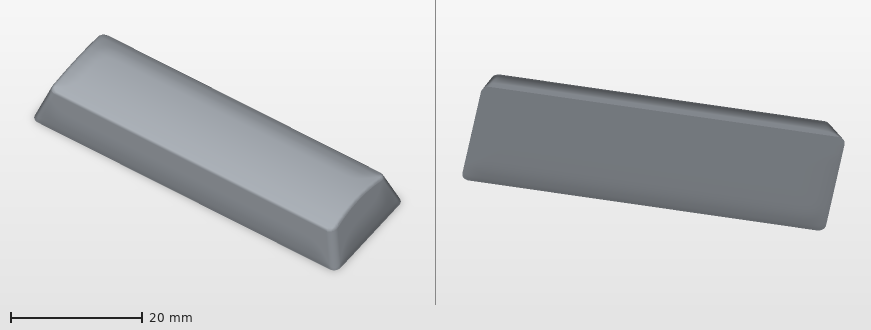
import cadquery as cq

base_length = 56.4
base_width = 18.3
height = 7.2
draft_angle = 17.5
corner_radius = 1.3
rim_radius = 0.6
crown_radius = 25.0
trim_allowance = 1.0


def tapered_block():
    """Block, left taller than the part, with leaning walls and rounded upright edges."""
    block = (
        cq.Workplane("XY")
        .rect(base_length, base_width)
        .extrude(height + trim_allowance, taper=draft_angle)
    )
    leaning_edges = block.edges("not(#Z)")
    return leaning_edges.fillet(corner_radius)


def crowned_bar():
    """Bar along X, as wide as the base, with its top arched across the width."""
    half_width = base_width / 2
    crown_drop = crown_radius - (crown_radius**2 - half_width**2) ** 0.5
    shoulder_height = height - crown_drop
    return (
        cq.Workplane("YZ")
        .moveTo(-half_width, 0)
        .lineTo(-half_width, shoulder_height)
        .threePointArc((0, height), (half_width, shoulder_height))
        .lineTo(half_width, 0)
        .close()
        .extrude(base_length / 2, both=True)
    )


def round_rim(body):
    """Round the edge loop where the crowned top meets the walls."""
    return body.faces(">Z").edges().fillet(rim_radius)


crowned_block = tapered_block().intersect(crowned_bar())
result = round_rim(crowned_block)